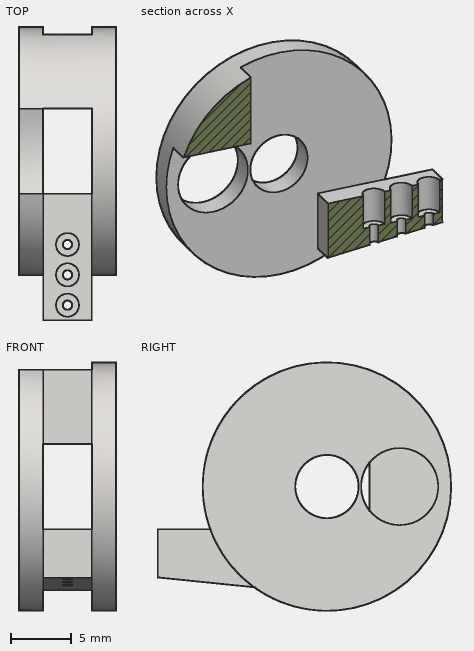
import cadquery as cq
import math

disc_diameter = 20.5
disc_radius = disc_diameter / 2
plate_thickness = 2.0
gap_width = 4.0
half_gap = gap_width / 2
outer_x = half_gap + plate_thickness

slot_width = 7.0
half_slot = slot_width / 2
rim_width = 1.0
slot_end_radius = disc_radius - rim_width

center_hole_diameter = 5.2
side_hole_diameter = 6.35
side_hole_y = 6.0

arm_tip_y = -13.95
arm_top_z = -half_slot
arm_tip_height = 4.0
arm_root_bottom_z = -math.sqrt(slot_end_radius**2 - half_slot**2)

pin_count = 3
pin_pitch = 2.5
pin_tip_margin = pin_pitch / 2
pin_hole_diameter = 0.75
pin_bore_diameter = 1.9
pin_bore_depth = 3.0


def disc(radius, start_x, length):
    """Cylinder along X about the disc axis."""
    return cq.Workplane("YZ", origin=(start_x, 0, 0)).circle(radius).extrude(length)


def box_between(x_range, y_range, z_range):
    """Box spanning the given (low, high) ranges."""
    (x0, x1), (y0, y1), (z0, z1) = x_range, y_range, z_range
    return cq.Workplane("XY").box(x1 - x0, y1 - y0, z1 - z0, centered=False).translate((x0, y0, z0))


def slotted_plate():
    """-X plate with the slot left open at the top."""
    x_range = (-outer_x, -half_gap)
    y_range = (-half_slot, half_slot)
    lower_slot = disc(slot_end_radius, -outer_x, plate_thickness).intersect(
        box_between(x_range, y_range, (-disc_radius, 0))
    )
    upper_slot = box_between(x_range, y_range, (0, disc_radius))
    return disc(disc_radius, -outer_x, plate_thickness).cut(lower_slot).cut(upper_slot)


def drilled_plate():
    """+X plate with the central hole and the larger hole beside it."""
    plate = disc(disc_radius, half_gap, plate_thickness)
    center_hole = disc(center_hole_diameter / 2, half_gap, plate_thickness)
    side_hole = disc(side_hole_diameter / 2, half_gap, plate_thickness).translate((0, side_hole_y, 0))
    return plate.cut(center_hole).cut(side_hole)


def joining_block():
    """Upper +Y sector of the disc that fills the gap between the plates."""
    sector = box_between((-half_gap, half_gap), (half_slot, disc_radius), (half_slot, disc_radius))
    return disc(disc_radius, -half_gap, gap_width).intersect(sector)


def arm():
    """Arm between the plates, with its row of stepped holes."""
    outline = [
        (-half_slot, arm_top_z),
        (arm_tip_y, arm_top_z),
        (arm_tip_y, arm_top_z - arm_tip_height),
        (-half_slot, arm_root_bottom_z),
    ]
    body = cq.Workplane("YZ", origin=(-half_gap, 0, 0)).polyline(outline).close().extrude(gap_width)
    first_pin_y = arm_tip_y + pin_tip_margin
    pin_points = [(0, first_pin_y + i * pin_pitch) for i in range(pin_count)]
    top = cq.Workplane("XY", origin=(0, 0, arm_top_z)).pushPoints(pin_points)
    through_holes = top.circle(pin_hole_diameter / 2).extrude(arm_root_bottom_z - arm_top_z)
    bores = top.circle(pin_bore_diameter / 2).extrude(-pin_bore_depth)
    return body.cut(through_holes).cut(bores)


result = slotted_plate().union(drilled_plate()).union(joining_block()).union(arm())